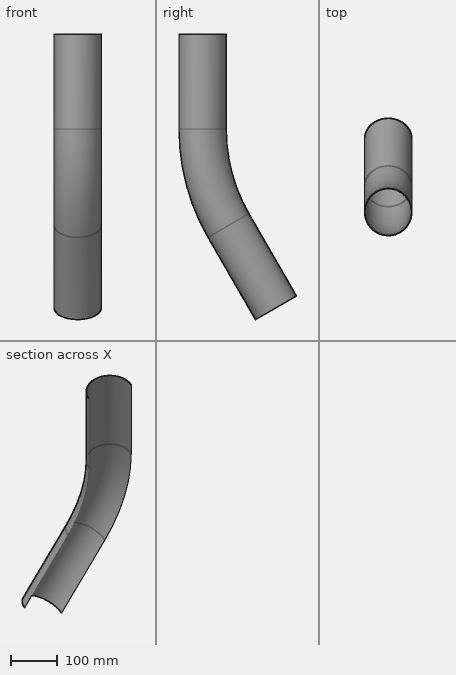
import cadquery as cq
import math

outer_diameter = 101.5
inner_diameter = 98.5
leg_length = 202.5
bend_radius = 409.5
bend_angle = 30.0


def bend_point(angle_deg):
    """Point on the bend centreline, as (y, z), with the bend starting at the origin."""
    angle = math.radians(angle_deg)
    return bend_radius * (1 - math.cos(angle)), -bend_radius * math.sin(angle)


bend_end_y, bend_end_z = bend_point(bend_angle)
lean = math.radians(bend_angle)
lower_end = (
    bend_end_y + leg_length * math.sin(lean),
    bend_end_z - leg_length * math.cos(lean),
)

centreline = (
    cq.Workplane("YZ")
    .moveTo(0, leg_length)
    .lineTo(0, 0)
    .threePointArc(bend_point(bend_angle / 2), (bend_end_y, bend_end_z))
    .lineTo(*lower_end)
)

result = (
    cq.Workplane("XY", origin=(0, 0, leg_length))
    .circle(outer_diameter / 2)
    .circle(inner_diameter / 2)
    .sweep(centreline)
)